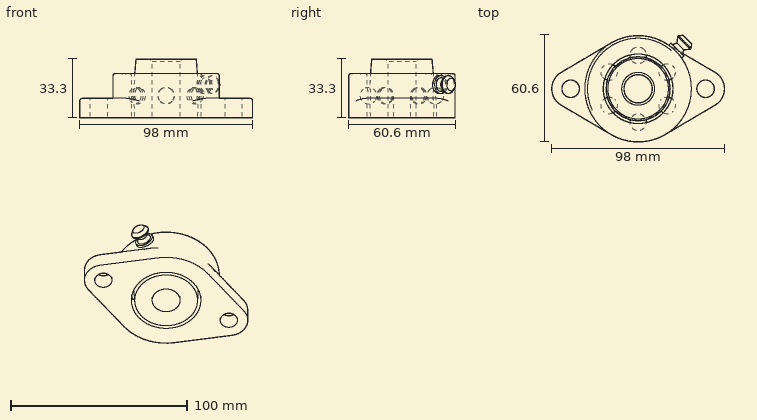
import cadquery as cq
import math

length = 98.0
hub_radius = 30.2
hub_height = 25.3
flange_height = 11.2
lug_radius = 10.8
lug_offset = length / 2 - lug_radius
bolt_hole_diameter = 9.8
edge_fillet = 1.5
bore_radius = 19.7

ring_top = 33.3
ring_radius = 18.2
ring_top_radius = 17.2
shaft_radius = 7.9
shaft_chamfer = 1.4

ball_count = 6
ball_radius = 4.7
ball_plane = hub_height / 2
ball_circle_radius = (bore_radius + ring_radius) / 2
first_ball_angle = 30.0

nipple_angle = 45.0
nipple_height = 18.9
nipple_root = 25.5
collar_end = 31.5
collar_radius = 5.2
shank_radius = 3.9
neck_position = 33.9
neck_radius = 2.8
head_start = 36.8
head_shoulder = 37.4
head_radius = 5.1
tip_position = 39.5
tip_radius = 3.5


def make_balls():
    ball = cq.Workplane("XY").sphere(ball_radius).translate((ball_circle_radius, 0, ball_plane))
    balls = []
    for index in range(ball_count):
        angle = first_ball_angle + index * 360 / ball_count
        balls.append(ball.rotate((0, 0, 0), (0, 0, 1), angle).val())
    return balls


def make_lug(side):
    tangent_angle = math.acos((hub_radius - lug_radius) / lug_offset)
    hub_x = side * hub_radius * math.cos(tangent_angle)
    hub_y = hub_radius * math.sin(tangent_angle)
    lug_x = side * (lug_offset + lug_radius * math.cos(tangent_angle))
    lug_y = lug_radius * math.sin(tangent_angle)
    lug = (
        cq.Workplane("XY")
        .moveTo(hub_x, hub_y)
        .lineTo(lug_x, lug_y)
        .threePointArc((side * length / 2, 0), (lug_x, -lug_y))
        .lineTo(hub_x, -hub_y)
        .close()
        .extrude(flange_height)
    )
    return lug.faces(">Z").edges("not |Y").fillet(edge_fillet)


def make_nipple():
    profile = (
        cq.Workplane("XY")
        .moveTo(0, nipple_root)
        .lineTo(collar_radius, nipple_root)
        .lineTo(collar_radius, collar_end)
        .lineTo(shank_radius, collar_end)
        .lineTo(neck_radius, neck_position)
        .lineTo(head_radius, head_start)
        .lineTo(head_radius, head_shoulder)
        .lineTo(tip_radius, tip_position)
        .lineTo(0, tip_position)
        .close()
    )
    nipple = profile.revolve(360, (0, 0, 0), (0, 1, 0))
    turn = nipple_angle - 90
    return nipple.rotate((0, 0, 0), (0, 0, 1), turn).translate((0, 0, nipple_height))


def make_housing(balls):
    hub = cq.Workplane("XY").circle(hub_radius).extrude(hub_height)
    hub = hub.faces(">Z").edges().fillet(edge_fillet)
    housing = hub.union(make_lug(1)).union(make_lug(-1))
    bolt_holes = (
        cq.Workplane("XY")
        .pushPoints([(-lug_offset, 0), (lug_offset, 0)])
        .circle(bolt_hole_diameter / 2)
        .extrude(flange_height)
    )
    bore = cq.Workplane("XY").circle(bore_radius).extrude(hub_height)
    housing = housing.cut(bolt_holes).cut(bore)
    bore_rim = cq.selectors.RadiusNthSelector(0)
    housing = housing.faces(">Z").edges(bore_rim).fillet(edge_fillet)
    housing = housing.union(make_nipple())
    for ball in balls:
        housing = housing.cut(cq.Workplane(ball))
    return housing


def make_inner_ring(balls):
    rise = ring_top - ball_plane
    drop = ring_radius - ring_top_radius
    barrel_radius = (rise**2 + drop**2) / (2 * drop)
    barrel_center = ring_radius - barrel_radius
    bottom_radius = barrel_center + math.sqrt(barrel_radius**2 - ball_plane**2)
    ring = (
        cq.Workplane("XZ")
        .moveTo(shaft_radius, 0)
        .lineTo(bottom_radius, 0)
        .threePointArc((ring_radius, ball_plane), (ring_top_radius, ring_top))
        .lineTo(shaft_radius + shaft_chamfer, ring_top)
        .lineTo(shaft_radius, ring_top - shaft_chamfer)
        .close()
        .revolve(360, (0, 0, 0), (0, 1, 0))
    )
    for ball in balls:
        ring = ring.cut(cq.Workplane(ball))
    return ring


balls = make_balls()
housing = make_housing(balls)
inner_ring = make_inner_ring(balls)

result = cq.Compound.makeCompound([housing.val(), inner_ring.val(), *balls])